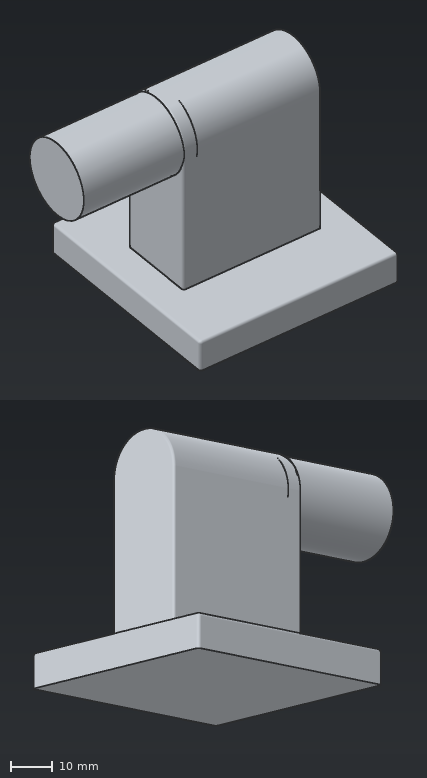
import cadquery as cq

base_side = 60.0
base_height = 9.0
base_rounding = 0.9

post_width = 22.0
post_depth = 41.75
post_top = 61.0
post_rounding = 0.7
post_radius = post_width / 2
post_axis_height = post_top - post_radius

overall_depth = 80.9
handle_diameter = 21.85
handle_axis_drop = 0.25
socket_depth = 4.3
handle_axis_height = post_axis_height - handle_axis_drop
handle_front = base_side / 2 - overall_depth
socket_bottom = -post_depth / 2 + socket_depth
handle_length = socket_bottom - handle_front


def make_base():
    """Square plate with rounded upright and top edges."""
    plate = cq.Workplane("XY").box(base_side, base_side, base_height, centered=(True, True, False))
    return plate.edges("|Z or >Z").fillet(base_rounding)


def make_handle():
    """Plain round bar running back along +Y to the bottom of its socket."""
    return (
        cq.Workplane("XZ", origin=(0, socket_bottom, handle_axis_height))
        .circle(handle_diameter / 2)
        .extrude(handle_length)
    )


def make_post(handle):
    """Round-topped block with rounded front and back outlines and a socket for the handle."""
    block = (
        cq.Workplane("XZ", origin=(0, post_depth / 2, 0))
        .moveTo(-post_radius, base_height)
        .lineTo(post_radius, base_height)
        .lineTo(post_radius, post_axis_height)
        .threePointArc((0, post_top), (-post_radius, post_axis_height))
        .close()
        .extrude(post_depth)
    )
    outline_edges = block.faces("<Y or >Y").edges("not <Z")
    return outline_edges.fillet(post_rounding).cut(handle)


base = make_base()
handle = make_handle()
post = make_post(handle)

result = cq.Compound.makeCompound([base.val(), post.val(), handle.val()])